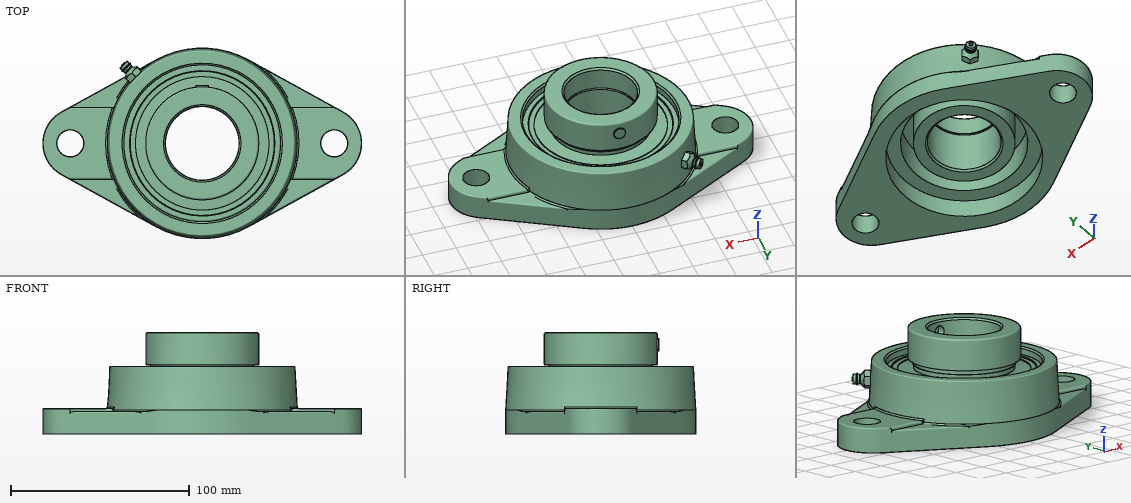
import cadquery as cq
import math

length = 179.0
body_radius = 53.5
ear_radius = 20.0
ear_offset = length / 2 - ear_radius
bolt_offset = 74.1
bolt_diameter = 15.0
web_height = 12.5
pad_height = 14.3
pad_half_width = 20.2
web_edge_fillet = 0.9
pad_edge_fillet = 0.7
pad_side_fillet = 1.0
boss_top = 38.0
boss_top_radius = 52.0
boss_edge_fillet = 0.7
boss_root_fillet = 0.9

seat_diameter = 88.0
mouth_diameter = 90.0
mouth_chamfer = (mouth_diameter - seat_diameter) / 2
bearing_center = 23.1
outer_ring_width = 21.5
outer_ring_bore = 71.5
outer_ring_corner = 0.9
recess_edge = 0.4
seal_recess_diameter = 80.9
seal_thickness = 1.8
seal_drop = 0.5
seal_flat_diameter = 75.0
seal_step = 0.5

shaft_diameter = 41.3
neck_diameter = 57.1
spigot_diameter = 50.3
spigot_top = 43.3
ring_bore_chamfer = 1.0

collar_diameter = 63.5
collar_bottom = 38.8
collar_top = 57.0
collar_top_fillet = 1.0
collar_bottom_fillet = 0.5
collar_bore_chamfer = 1.0
lip_diameter = 58.0
lip_height = 2.9
screw_diameter = 6.8
screw_height = 50.1
screw_tip = 25.0
screw_end = 32.5

nipple_height = 26.0
nipple_angle = 135.0
shank_diameter = 6.0
shank_start = 47.5
hex_start = 52.6
hex_end = 55.7
hex_across_flats = 9.1
shoulder_end = 57.8
head_radius = 2.9
groove_radius = 2.5
groove_start = 58.2
groove_end = 58.7
rim_radius = 3.4
rim_center = 60.3
rim_half_width = 0.4
head_end = 62.5
tip_radius = 1.16
tip_end = 63.0

outer_ring_top = bearing_center + outer_ring_width / 2
outer_ring_bottom = bearing_center - outer_ring_width / 2
seal_top = outer_ring_top - seal_drop
seal_bottom = seal_top - seal_thickness
lip_bottom = collar_bottom - lip_height


def cylinder(diameter, bottom, top):
    """Upright cylinder on the bearing axis."""
    return cq.Workplane("XY").workplane(offset=bottom).circle(diameter / 2).extrude(top - bottom)


def revolved(points):
    """Solid of revolution about Z from (radius, height) points."""
    return cq.Workplane("XZ").polyline(points).close().revolve(360, (0, 0, 0), (0, 1, 0))


def flange_plate(height):
    """Plate outlined by the body arc, two ear arcs and their common tangents."""
    normal_x = (body_radius - ear_radius) / ear_offset
    normal_y = math.sqrt(1 - normal_x**2)
    body_x, body_y = body_radius * normal_x, body_radius * normal_y
    ear_x, ear_y = ear_offset + ear_radius * normal_x, ear_radius * normal_y
    return (
        cq.Workplane("XY")
        .moveTo(body_x, body_y)
        .threePointArc((0, body_radius), (-body_x, body_y))
        .lineTo(-ear_x, ear_y)
        .threePointArc((-length / 2, 0), (-ear_x, -ear_y))
        .lineTo(-body_x, -body_y)
        .threePointArc((0, -body_radius), (body_x, -body_y))
        .lineTo(ear_x, -ear_y)
        .threePointArc((length / 2, 0), (ear_x, ear_y))
        .close()
        .extrude(height)
    )


def boss():
    """Tapered round boss with a rounded top edge, standing on a straight base."""
    profile = [
        (0, 0),
        (body_radius, 0),
        (body_radius, web_height),
        (boss_top_radius, boss_top),
        (0, boss_top),
    ]
    return revolved(profile).faces(">Z").edges().fillet(boss_edge_fillet)


def root_fillet(level):
    """Concave fillet ring where the boss meets a flange face."""
    slope = (body_radius - boss_top_radius) / (boss_top - web_height)
    wall_radius = body_radius - (level - web_height) * slope
    outer = wall_radius + boss_root_fillet
    upper = level + boss_root_fillet
    inset = boss_root_fillet * (1 - math.sqrt(0.5))
    inner = wall_radius - boss_root_fillet
    return (
        cq.Workplane("XZ")
        .moveTo(inner, level - boss_root_fillet)
        .lineTo(outer, level - boss_root_fillet)
        .lineTo(outer, level)
        .threePointArc((wall_radius + inset, level + inset), (wall_radius, upper))
        .lineTo(inner, upper)
        .close()
        .revolve(360, (0, 0, 0), (0, 1, 0))
    )


def raised_pads():
    """Raised bands around the bolt holes, rounded along their sides."""
    band = (
        cq.Workplane("XY")
        .box(length, 2 * pad_half_width, pad_height, centered=(True, True, False))
        .edges("|X and >Z")
        .fillet(pad_side_fillet)
    )
    plate = flange_plate(pad_height).faces(">Z").edges().fillet(pad_edge_fillet)
    strip = cq.Workplane("XY").box(length, 2 * pad_half_width, 2 * boss_top)
    root = root_fillet(pad_height).intersect(strip)
    outline = flange_plate(boss_top)
    return plate.intersect(band).union(band.union(root).cut(band).intersect(outline))


def nipple_frame():
    """Plane on the bearing axis facing along the nipple."""
    angle = math.radians(nipple_angle)
    outward = cq.Vector(math.cos(angle), math.sin(angle), 0)
    sideways = cq.Vector(-math.sin(angle), math.cos(angle), 0)
    return cq.Plane(origin=(0, 0, nipple_height), xDir=sideways, normal=outward)


def along_nipple(points):
    """Solid of revolution about the nipple axis from (radius, distance) points."""
    return cq.Workplane(revolved(points).val().moved(cq.Location(nipple_frame())))


def nipple_shank():
    """Plain shank that sits in the housing wall."""
    return (
        cq.Workplane(nipple_frame())
        .workplane(offset=shank_start)
        .circle(shank_diameter / 2)
        .extrude(hex_start - shank_start)
    )


def make_housing():
    """Flange, pads and boss with the bolt holes, bearing seat and nipple hole."""
    web = flange_plate(web_height).faces(">Z").edges().fillet(web_edge_fillet)
    web_root = root_fillet(web_height).intersect(flange_plate(boss_top))
    body = web.union(web_root).union(raised_pads()).union(boss())
    bolts = (
        cq.Workplane("XY")
        .pushPoints([(-bolt_offset, 0), (bolt_offset, 0)])
        .circle(bolt_diameter / 2)
        .extrude(boss_top)
    )
    seat = cylinder(seat_diameter, 0, boss_top)
    body = body.cut(bolts).cut(seat)
    body = body.faces(">Z").edges(cq.selectors.RadiusNthSelector(0)).chamfer(mouth_chamfer)
    return body.cut(nipple_shank())


def make_outer_ring():
    """Outer bearing ring with rounded corners and a recess for the seal."""
    ring = cylinder(seat_diameter, outer_ring_bottom, outer_ring_top)
    ring = ring.faces("<Z or >Z").edges().fillet(outer_ring_corner)
    bore = cylinder(outer_ring_bore, outer_ring_bottom, outer_ring_top)
    recess_radius = seal_recess_diameter / 2
    recess = revolved(
        [
            (0, seal_bottom),
            (recess_radius, seal_bottom),
            (recess_radius, outer_ring_top - recess_edge),
            (recess_radius + recess_edge, outer_ring_top),
            (0, outer_ring_top),
        ]
    )
    return ring.cut(bore).cut(recess)


def make_seal():
    """Flat rim, a small step down and a cone that rises to the inner ring."""
    return revolved(
        [
            (neck_diameter / 2, seal_bottom),
            (seal_recess_diameter / 2, seal_bottom),
            (seal_recess_diameter / 2, seal_top),
            (seal_flat_diameter / 2, seal_top),
            (seal_flat_diameter / 2, seal_top - seal_step),
            (neck_diameter / 2, seal_top),
        ]
    )


def make_inner_ring():
    """Inner bearing ring with a spigot that enters the collar."""
    ring = cylinder(neck_diameter, outer_ring_bottom, lip_bottom)
    ring = ring.union(cylinder(spigot_diameter, lip_bottom, spigot_top))
    ring = ring.cut(cylinder(shaft_diameter, outer_ring_bottom, spigot_top))
    bore_edges = ring.faces(">Z or <Z").edges("%CIRCLE").edges(cq.selectors.RadiusNthSelector(0))
    return bore_edges.chamfer(ring_bore_chamfer)


def make_collar():
    """Locking collar over the spigot, with a lip below and a set screw hole."""
    collar = cylinder(collar_diameter, collar_bottom, collar_top)
    collar = collar.faces(">Z").edges().fillet(collar_top_fillet)
    collar = collar.faces("<Z").edges().fillet(collar_bottom_fillet)
    collar = collar.union(cylinder(lip_diameter, lip_bottom, collar_bottom))
    collar = collar.cut(cylinder(spigot_diameter, lip_bottom, spigot_top))
    collar = collar.cut(cylinder(shaft_diameter, spigot_top, collar_top))
    collar = collar.faces(">Z").edges(cq.selectors.RadiusNthSelector(0)).chamfer(collar_bore_chamfer)
    screw_hole = (
        cq.Workplane("XZ", origin=(0, collar_diameter, screw_height))
        .circle(screw_diameter / 2)
        .extrude(collar_diameter)
    )
    return collar.cut(screw_hole)


def make_set_screw():
    """Set screw in the collar wall, standing slightly proud of it."""
    return (
        cq.Workplane("XZ", origin=(0, screw_end, screw_height))
        .circle(screw_diameter / 2)
        .extrude(screw_end - screw_tip)
    )


def make_nipple():
    """Shank, hexagon with a conical shoulder, and a grooved head."""
    corners = hex_across_flats / math.cos(math.radians(30))
    hexagon = (
        cq.Workplane(nipple_frame())
        .workplane(offset=hex_start)
        .transformed(rotate=(0, 0, 90))
        .polygon(6, corners)
        .extrude(shoulder_end - hex_start)
    )
    shoulder = along_nipple(
        [
            (0, hex_start),
            (corners / 2, hex_start),
            (corners / 2, hex_end),
            (head_radius, shoulder_end),
            (0, shoulder_end),
        ]
    )
    head = along_nipple(
        [
            (0, shoulder_end),
            (head_radius, shoulder_end),
            (groove_radius, groove_start),
            (groove_radius, groove_end),
            (head_radius, groove_end),
            (head_radius, rim_center - rim_half_width),
            (rim_radius, rim_center),
            (head_radius, rim_center + rim_half_width),
            (head_radius, head_end),
            (tip_radius, head_end),
            (tip_radius, tip_end),
            (0, tip_end),
        ]
    )
    return nipple_shank().union(hexagon.intersect(shoulder)).union(head)


housing = make_housing()
outer_ring = make_outer_ring()
seal = make_seal()
inner_ring = make_inner_ring()
collar = make_collar()
set_screw = make_set_screw()
nipple = make_nipple()

result = cq.Compound.makeCompound(
    [
        housing.val(),
        outer_ring.val(),
        seal.val(),
        inner_ring.val(),
        collar.val(),
        set_screw.val(),
        nipple.val(),
    ]
)